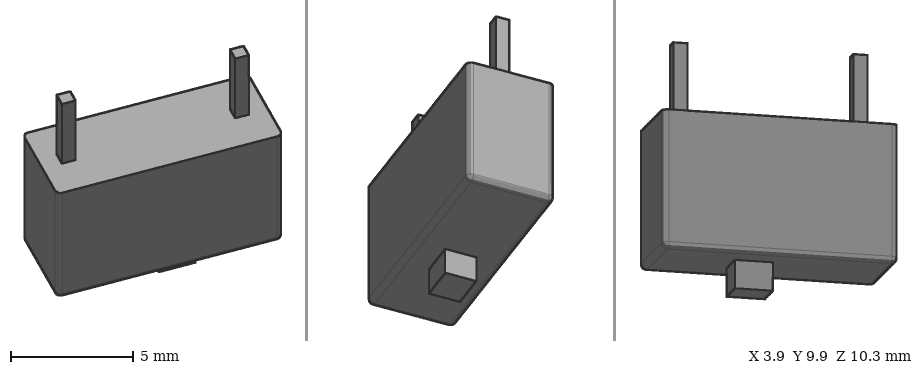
import cadquery as cq

total_height = 10.35
case_width = 3.9
case_length = 9.9
case_radius = 0.25
pin_side = 0.6
pin_height = 3.3
pin_spacing = 7.6
nub_width = 1.4
nub_length = 1.6
nub_height = 1.2

case_height = total_height - pin_height - nub_height


def make_case():
    """Box standing on Z = 0, rounded except at its top rim, with a nub underneath."""
    case = (
        cq.Workplane("XY")
        .box(case_width, case_length, case_height, centered=(True, True, False))
        .edges("|Z or <Z")
        .fillet(case_radius)
    )
    nub = (
        cq.Workplane("XY")
        .workplane(offset=-nub_height)
        .box(nub_width, nub_length, nub_height, centered=(True, False, False))
    )
    return case.union(nub)


def make_pin(y_position):
    """Square pin standing on the top face of the case."""
    return (
        cq.Workplane("XY", origin=(0, y_position, case_height))
        .box(pin_side, pin_side, pin_height, centered=(True, True, False))
    )


case = make_case()
pins = [make_pin(side * pin_spacing / 2) for side in (-1, 1)]

result = cq.Compound.makeCompound([case.val(), *[pin.val() for pin in pins]])